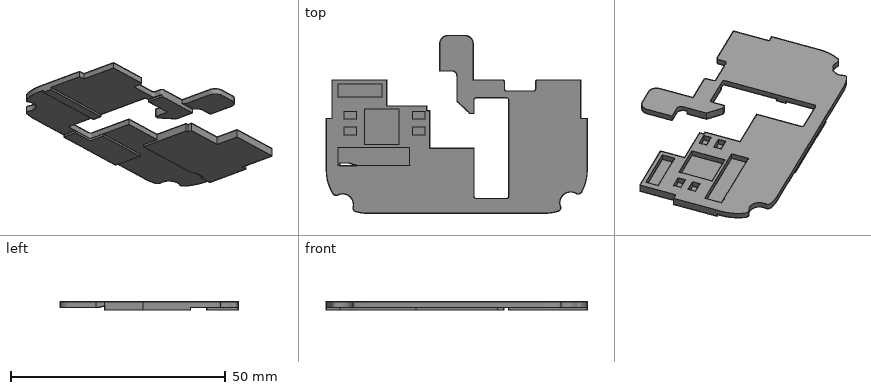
import cadquery as cq
import math


width = 61.0
depth = 41.59
total_height = 1.95
lower_height = 0.55
plate_height = total_height - lower_height
half_width = width / 2
cut_margin = 1.0
corner_reach = 0.05

shoulder_y = 22.2
back_y = 31.2
left_shoulder_x = -29.16
right_shoulder_x = 28.97
left_block_x = -16.3
middle_block_y = 25.14
middle_block_x = -6.95
small_step_y = 24.04
small_step_x = -6.26
inner_ledge_y = 15.23

slot_left = 4.05
slot_right = 12.13
slot_front = 3.52
slot_back = 26.97
slot_corner_radius = 0.5

arm_left = 0.0
arm_right = 3.87
arm_tip_y = 23.3
arm_tip_x = 3.1
arm_bevel_y = 26.24
tab_left = -4.0
tab_front = 33.25
tab_corner_radius = 2.0
arm_fillet_radius = 1.05

notch_left = 11.17
notch_right = 18.4
notch_front = 28.6
notch_corner_radius = 0.5

side_arc_start_y = 10.15
side_arc_radius = 10.6
side_arc_sweep = math.radians(40)
left_front_arc_x = -20.6
right_front_arc_x = 20.4
front_arc_radius = 11.0
front_arc_sweep = math.radians(27)
scallop_radius = 2.5
left_scallop = (-26.65, 2.05)
right_scallop = (26.6, 2.5)
cusp_radius = 0.9
cusp_reach = 3.25

window_left = -27.72
upper_window = (window_left, -17.41, 27.16, 30.28)
square_window = (-21.49, -13.52, 16.1, 24.4)
long_window = (window_left, -10.99, 11.2, 15.41)
small_window_size = (2.82, 1.83)
small_window_columns = (-24.87, -8.88)
small_window_rows = (19.27, 22.94)

floor_front = 11.15
floor_notch_left = -27.3
floor_notch_right = -25.15
floor_notch_y = 11.74
floor_slant_end = -23.15
arm_rib_right = 11.0
strip_back = 13.45

ramp_start_y = 32.75
ramp_rise = 0.42

pad_width = 19.0
pad_depth = 7.4


def block(left, right, front, back, bottom, top):
    """Axis-aligned box given by its limits."""
    return cq.Workplane("XY").box(
        right - left, back - front, top - bottom, centered=False
    ).translate((left, front, bottom))


def side_arc_point(angle):
    """Offset inward and forward from the start of a side arc."""
    return side_arc_radius * (1 - math.cos(angle)), side_arc_radius * math.sin(angle)


def front_arc_point(angle):
    """Offset outward and backward from the end of the straight front edge."""
    return front_arc_radius * math.sin(angle), front_arc_radius * (1 - math.cos(angle))


def fillet_corners(body, corners, radius):
    """Round the vertical edges that stand on the given (x, y) corners."""
    for x, y in corners:
        picker = cq.selectors.BoxSelector(
            (x - corner_reach, y - corner_reach, -cut_margin),
            (x + corner_reach, y + corner_reach, total_height + cut_margin),
        )
        body = body.edges("|Z").edges(picker).fillet(radius)
    return body


def outline_body(bottom, height):
    """Board outline extruded from the bottom height."""
    side_mid = side_arc_point(side_arc_sweep / 2)
    side_end = side_arc_point(side_arc_sweep)
    front_mid = front_arc_point(front_arc_sweep / 2)
    front_end = front_arc_point(front_arc_sweep)

    body = (
        cq.Workplane("XY", origin=(0, 0, bottom))
        .moveTo(left_front_arc_x, 0)
        .lineTo(right_front_arc_x, 0)
        .threePointArc(
            (right_front_arc_x + front_mid[0], front_mid[1]),
            (right_front_arc_x + front_end[0], front_end[1]),
        )
        .lineTo(half_width - side_end[0], side_arc_start_y - side_end[1])
        .threePointArc(
            (half_width - side_mid[0], side_arc_start_y - side_mid[1]),
            (half_width, side_arc_start_y),
        )
        .lineTo(half_width, shoulder_y)
        .lineTo(right_shoulder_x, shoulder_y)
        .lineTo(right_shoulder_x, back_y)
        .lineTo(notch_right, back_y)
        .lineTo(notch_right, notch_front)
        .lineTo(notch_left, notch_front)
        .lineTo(notch_left, back_y)
        .lineTo(arm_right, back_y)
        .lineTo(arm_right, depth)
        .lineTo(tab_left, depth)
        .lineTo(tab_left, tab_front)
        .lineTo(arm_left, tab_front)
        .lineTo(arm_left, arm_bevel_y)
        .lineTo(arm_tip_x, arm_tip_y)
        .lineTo(slot_left, arm_tip_y)
        .lineTo(slot_left, slot_back)
        .lineTo(slot_right, slot_back)
        .lineTo(slot_right, slot_front)
        .lineTo(slot_left, slot_front)
        .lineTo(slot_left, inner_ledge_y)
        .lineTo(small_step_x, inner_ledge_y)
        .lineTo(small_step_x, small_step_y)
        .lineTo(middle_block_x, small_step_y)
        .lineTo(middle_block_x, middle_block_y)
        .lineTo(left_block_x, middle_block_y)
        .lineTo(left_block_x, back_y)
        .lineTo(left_shoulder_x, back_y)
        .lineTo(left_shoulder_x, shoulder_y)
        .lineTo(-half_width, shoulder_y)
        .lineTo(-half_width, side_arc_start_y)
        .threePointArc(
            (-half_width + side_mid[0], side_arc_start_y - side_mid[1]),
            (-half_width + side_end[0], side_arc_start_y - side_end[1]),
        )
        .lineTo(left_front_arc_x - front_end[0], front_end[1])
        .threePointArc(
            (left_front_arc_x - front_mid[0], front_mid[1]),
            (left_front_arc_x, 0),
        )
        .close()
        .extrude(height)
    )

    slot_corners = [(x, y) for x in (slot_left, slot_right) for y in (slot_front, slot_back)]
    notch_corners = [(x, y) for x in (notch_left, notch_right) for y in (notch_front, back_y)]
    tab_corners = [(tab_left, depth), (arm_right, depth)]
    body = fillet_corners(body, slot_corners, slot_corner_radius)
    body = fillet_corners(body, notch_corners, notch_corner_radius)
    body = fillet_corners(body, tab_corners, tab_corner_radius)
    body = fillet_corners(body, [(arm_left, tab_front)], arm_fillet_radius)

    for scallop in (left_scallop, right_scallop):
        body = cut_scallop(body, scallop)
    return body


def cut_scallop(body, center):
    """Cut a round scallop through a front corner and round its two cusps."""
    x, y = center
    cutter = (
        cq.Workplane("XY", origin=(x, y, -cut_margin))
        .circle(scallop_radius)
        .extrude(total_height + 2 * cut_margin)
    )
    cusps = cq.selectors.BoxSelector(
        (x - cusp_reach, y - cusp_reach, -cut_margin),
        (x + cusp_reach, y + cusp_reach, total_height + cut_margin),
    )
    return body.cut(cutter).edges("|Z").edges(cusps).fillet(cusp_radius)


def windows():
    """Cutters for all windows, open above and reaching down to the lower layer."""
    small_width, small_depth = small_window_size
    limits = [upper_window, square_window, long_window]
    for x in small_window_columns:
        for y in small_window_rows:
            limits.append(
                (x - small_width / 2, x + small_width / 2, y - small_depth / 2, y + small_depth / 2)
            )
    return [block(*limit, lower_height, total_height + cut_margin) for limit in limits]


def lower_regions():
    """Areas of the underside where the board is full height."""
    left_floor = (
        cq.Workplane("XY")
        .moveTo(-half_width, back_y)
        .lineTo(-half_width, floor_front)
        .lineTo(floor_notch_left, floor_front)
        .lineTo(floor_notch_left, floor_notch_y)
        .lineTo(floor_notch_right, floor_notch_y)
        .lineTo(floor_slant_end, floor_front)
        .lineTo(small_step_x, floor_front)
        .lineTo(small_step_x, back_y)
        .close()
        .extrude(lower_height)
    )
    arm_rib = block(arm_left, arm_rib_right, arm_tip_y, back_y, 0, lower_height)
    right_strip = block(slot_right, half_width, floor_front, strip_back, 0, lower_height)
    return [left_floor, arm_rib, right_strip]


def arm_ramp():
    """Wedge removed from the underside of the arm, deepest at the arm rib."""
    return (
        cq.Workplane("YZ", origin=(tab_left, 0, 0))
        .moveTo(ramp_start_y, lower_height)
        .lineTo(back_y, lower_height + ramp_rise)
        .lineTo(back_y, lower_height)
        .close()
        .extrude(arm_right - tab_left)
    )


def make_board():
    board = outline_body(lower_height, plate_height)
    for window in windows():
        board = board.cut(window)
    board = board.cut(arm_ramp())
    lower_outline = outline_body(0, lower_height)
    for region in lower_regions():
        board = board.union(lower_outline.intersect(region))
    return board.clean()


def make_front_pad():
    """Pad under the front edge, flush with the edge and with the slot walls."""
    pad = block(-pad_width / 2, pad_width / 2, 0, pad_depth, 0, lower_height)
    return outline_body(0, lower_height).intersect(pad)


board = make_board()
front_pad = make_front_pad()

result = cq.Compound.makeCompound([board.val(), front_pad.val()])